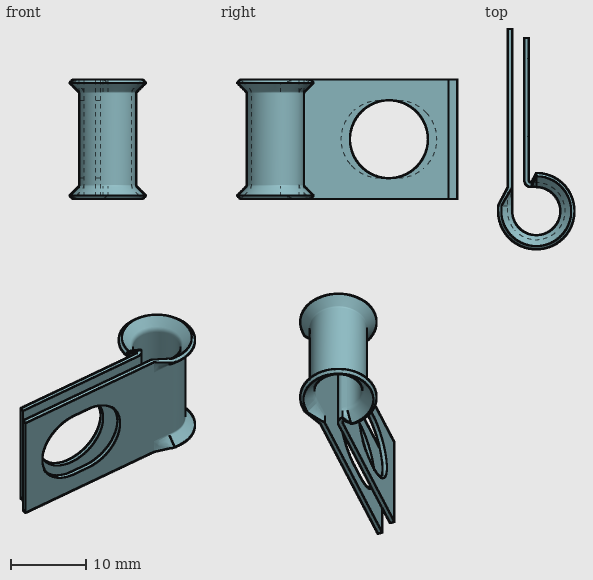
import cadquery as cq
import math

HEIGHT = 15.88
THICKNESS = 0.635
EYE_INNER_RADIUS = 3.175
EYE_OUTER_RADIUS = EYE_INNER_RADIUS + THICKNESS
FLARE_RADIUS = 5.09
BEND_INNER_RADIUS = 0.3175
BEND_OUTER_RADIUS = BEND_INNER_RADIUS + THICKNESS

LONG_LEG_END = 24.18
SHORT_LEG_END = 23.0
SHORT_BEND_X = -0.66
SHORT_BEND_Y = EYE_INNER_RADIUS + BEND_OUTER_RADIUS

EYE_TURN = 270

LONG_LIP_STRAIGHT = 0.7
LONG_LIP_END = EYE_INNER_RADIUS

HOLE_Y = 15.08
HOLE_DIAMETER = 10.32
SLOT_LENGTH = 12.7

HALF_HEIGHT = HEIGHT / 2
FLARE_ANGLE = 45
COS_45 = math.sqrt(0.5)
RIM_STEP = THICKNESS * COS_45
OUTER_CORNER_Z = HALF_HEIGHT - RIM_STEP - (FLARE_RADIUS - EYE_OUTER_RADIUS)
LIP_BASE_Z = OUTER_CORNER_Z - BEND_INNER_RADIUS * math.tan(math.radians(FLARE_ANGLE / 2))
BEND_CENTER_RADIUS = EYE_OUTER_RADIUS + BEND_INNER_RADIUS


def bend_point(radius, degrees):
    """Radius and height of a point on the lip bend, measured up from the lip base."""
    angle = math.radians(degrees)
    return (BEND_CENTER_RADIUS - radius * math.cos(angle), LIP_BASE_Z + radius * math.sin(angle))


def flared_section(plane):
    """Wire of the lip section; the plane's x is radial and its y is along the eye."""
    return (
        cq.Workplane(plane)
        .moveTo(EYE_INNER_RADIUS, LIP_BASE_Z)
        .threePointArc(
            bend_point(BEND_OUTER_RADIUS, FLARE_ANGLE / 2),
            bend_point(BEND_OUTER_RADIUS, FLARE_ANGLE),
        )
        .lineTo(FLARE_RADIUS - RIM_STEP, HALF_HEIGHT)
        .lineTo(FLARE_RADIUS, HALF_HEIGHT - RIM_STEP)
        .lineTo(*bend_point(BEND_INNER_RADIUS, FLARE_ANGLE))
        .threePointArc(bend_point(BEND_INNER_RADIUS, FLARE_ANGLE / 2), bend_point(BEND_INNER_RADIUS, 0))
        .close()
    )


def flat_section(plane):
    """Wire of the unflared strip edge, with one corner for each corner of the lip section."""
    return (
        cq.Workplane(plane)
        .moveTo(EYE_INNER_RADIUS, LIP_BASE_Z)
        .lineTo(EYE_INNER_RADIUS, bend_point(BEND_OUTER_RADIUS, FLARE_ANGLE)[1])
        .lineTo(EYE_INNER_RADIUS, HALF_HEIGHT)
        .lineTo(EYE_OUTER_RADIUS, HALF_HEIGHT)
        .lineTo(EYE_OUTER_RADIUS, bend_point(BEND_INNER_RADIUS, FLARE_ANGLE)[1])
        .lineTo(EYE_OUTER_RADIUS, LIP_BASE_Z)
        .close()
    )


def long_side_plane(y):
    """Section plane across the long leg, radial direction -X."""
    return cq.Plane(origin=(0, y, 0), xDir=(-1, 0, 0), normal=(0, 1, 0))


def short_side_plane(x):
    """Section plane across the start of the short leg, radial direction +Y."""
    return cq.Plane(origin=(x, 0, 0), xDir=(0, 1, 0), normal=(1, 0, 0))


def run_out(flared_plane, flat_plane):
    """Transition from the flared lip to the flat strip edge."""
    wires = [flared_section(flared_plane).val(), flat_section(flat_plane).val()]
    return cq.Workplane(cq.Solid.makeLoft(wires, True))


def lip():
    """Upper lip: three quarters of a turn, a straight stretch and a run-out at each end."""
    turned = flared_section(long_side_plane(0)).revolve(EYE_TURN, (0, 0), (0, 1))
    straight = flared_section(long_side_plane(0)).extrude(LONG_LIP_STRAIGHT)
    long_run_out = run_out(long_side_plane(LONG_LIP_STRAIGHT), long_side_plane(LONG_LIP_END))
    short_run_out = run_out(short_side_plane(0), short_side_plane(SHORT_BEND_X))
    return turned.union(straight).union(long_run_out).union(short_run_out)


def centered_prism(sketch, height):
    """Outline in the XY plane extruded equally above and below mid-height."""
    return sketch.extrude(height / 2, both=True)


def eye_wall():
    """Unflared wall of the eye, up to where the legs reach full height."""
    diagonal_in = EYE_INNER_RADIUS * COS_45
    diagonal_out = EYE_OUTER_RADIUS * COS_45
    outline = (
        cq.Workplane("XY")
        .moveTo(-EYE_INNER_RADIUS, LONG_LIP_END)
        .lineTo(-EYE_INNER_RADIUS, 0)
        .threePointArc((diagonal_in, -diagonal_in), (0, EYE_INNER_RADIUS))
        .lineTo(SHORT_BEND_X, EYE_INNER_RADIUS)
        .lineTo(SHORT_BEND_X, EYE_OUTER_RADIUS)
        .lineTo(0, EYE_OUTER_RADIUS)
        .threePointArc((diagonal_out, -diagonal_out), (-EYE_OUTER_RADIUS, 0))
        .lineTo(-EYE_OUTER_RADIUS, LONG_LIP_END)
        .close()
    )
    return centered_prism(outline, 2 * LIP_BASE_Z)


def long_leg():
    """Flat leg tangent to the eye, with an obround hole along Y."""
    outline = cq.Workplane("XY").moveTo(-EYE_OUTER_RADIUS, LONG_LIP_END)
    leg = centered_prism(outline.rect(THICKNESS, LONG_LEG_END - LONG_LIP_END, centered=False), HEIGHT)
    slot = (
        cq.Workplane("YZ", origin=(-EYE_OUTER_RADIUS, HOLE_Y, 0))
        .slot2D(SLOT_LENGTH, HOLE_DIAMETER)
        .extrude(THICKNESS)
    )
    return leg.cut(slot)


def short_leg():
    """Leg bent a quarter turn away from the eye, with a round hole."""
    outer_x = SHORT_BEND_X - BEND_OUTER_RADIUS
    inner_x = SHORT_BEND_X - BEND_INNER_RADIUS
    outline = (
        cq.Workplane("XY")
        .moveTo(SHORT_BEND_X, SHORT_BEND_Y - BEND_OUTER_RADIUS)
        .radiusArc((outer_x, SHORT_BEND_Y), BEND_OUTER_RADIUS)
        .lineTo(outer_x, SHORT_LEG_END)
        .lineTo(inner_x, SHORT_LEG_END)
        .lineTo(inner_x, SHORT_BEND_Y)
        .radiusArc((SHORT_BEND_X, SHORT_BEND_Y - BEND_INNER_RADIUS), -BEND_INNER_RADIUS)
        .close()
    )
    hole = (
        cq.Workplane("YZ", origin=(outer_x, HOLE_Y, 0))
        .circle(HOLE_DIAMETER / 2)
        .extrude(THICKNESS)
    )
    return centered_prism(outline, HEIGHT).cut(hole)


upper_lip = lip()
lower_lip = upper_lip.mirror("XY")
result = eye_wall().union(long_leg()).union(short_leg()).union(upper_lip).union(lower_lip).clean()